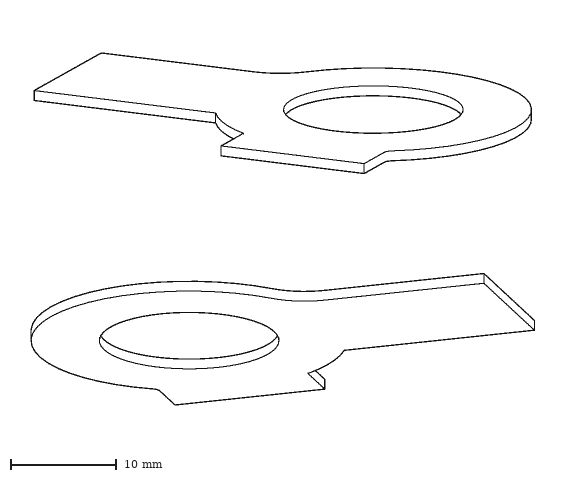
import cadquery as cq
import math

thickness = 1.0
overall_length = 47.0
ring_diameter = 30.0
hole_diameter = 17.0
tab_width = 15.0
short_tab_reach = 18.0
long_tab_fillet = 6.0
short_tab_fillet = 1.0

ring_radius = ring_diameter / 2
half_tab = tab_width / 2
long_tab_reach = overall_length - ring_radius
root_distance = math.sqrt(ring_radius**2 - half_tab**2)


def round_corner(body, x, y, radius):
    """Round the vertical edge standing at (x, y)."""
    edge = cq.selectors.NearestToPointSelector((x, y, thickness / 2))
    return body.edges("|Z").edges(edge).fillet(radius)


ring = cq.Workplane("XY").circle(ring_radius).extrude(thickness)

long_tab = (
    cq.Workplane("XY")
    .rect(long_tab_reach, tab_width)
    .extrude(thickness)
    .translate((-long_tab_reach / 2, 0, 0))
)
short_tab = (
    cq.Workplane("XY")
    .rect(tab_width, short_tab_reach)
    .extrude(thickness)
    .translate((0, -short_tab_reach / 2, 0))
)
washer = ring.union(long_tab).union(short_tab)

washer = round_corner(washer, -root_distance, half_tab, long_tab_fillet)
washer = round_corner(washer, half_tab, -root_distance, short_tab_fillet)

hole = cq.Workplane("XY").circle(hole_diameter / 2).extrude(thickness)
result = washer.cut(hole)